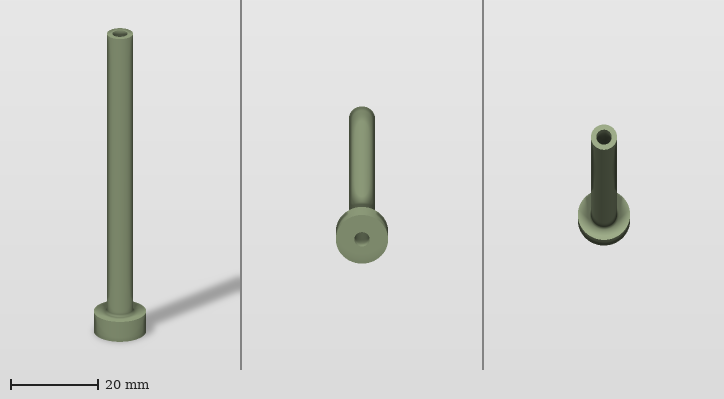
import cadquery as cq

total_length = 75.0
head_diameter = 12.0
head_height = 5.0
shaft_diameter = 6.0
bore_diameter = 3.5
neck_fillet = 0.5

head_radius = head_diameter / 2
shaft_radius = shaft_diameter / 2


def sleeve_body():
    """Head and shaft as one turned solid, with a concave fillet at the neck."""
    arc_centre_x = shaft_radius + neck_fillet
    arc_centre_z = head_height + neck_fillet
    half_profile = (
        cq.Workplane("XZ")
        .lineTo(head_radius, 0)
        .lineTo(head_radius, head_height)
        .lineTo(arc_centre_x, head_height)
        .radiusArc((shaft_radius, arc_centre_z), neck_fillet)
        .lineTo(shaft_radius, total_length)
        .lineTo(0, total_length)
        .close()
    )
    return half_profile.revolve(360, (0, 0, 0), (0, 1, 0))


def through_bore():
    """Straight bore along the whole sleeve."""
    return cq.Workplane("XY").circle(bore_diameter / 2).extrude(total_length)


result = sleeve_body().cut(through_bore())